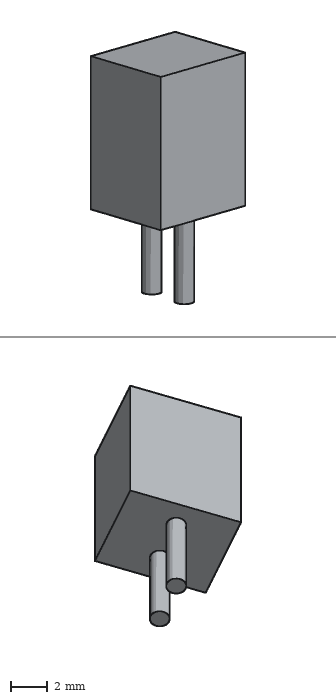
import cadquery as cq

total_height = 13.9
housing_width = 5.48
housing_depth = 6.5
housing_height = 8.8

pin_diameter = 1.1
pin_pitch = 2.55
pin_length = total_height - housing_height


def make_housing():
    """Rectangular block standing on the plane Z = 0."""
    return cq.Workplane("XY").box(
        housing_width, housing_depth, housing_height, centered=(True, True, False)
    )


def make_pin(x):
    """Straight round pin hanging from the underside of the housing."""
    return cq.Workplane("XY").center(x, 0).circle(pin_diameter / 2).extrude(-pin_length)


housing = make_housing()
pins = [make_pin(side * pin_pitch / 2) for side in (-1, 1)]

result = cq.Compound.makeCompound([housing.val(), *[pin.val() for pin in pins]])